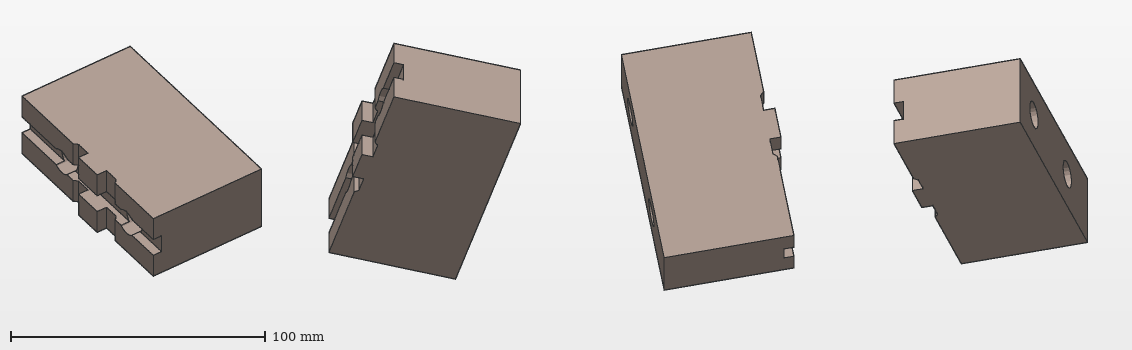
import cadquery as cq

length = 90.0
height = 30.0
total_depth = 55.0
key_projection = 3.0
body_depth = total_depth - key_projection

feature_center_x = 49.4
middle_z = height / 2

key_width = 12.8
relief_width = 28.8
relief_depth = 1.5

slot_width = 8.2
slot_depth = 4.0

hole_diameter = 11.0
hole_spacing = 44.5


def make_block():
    """Extrude the plan outline of the body, relief and key."""
    key_left = feature_center_x - key_width / 2
    key_right = feature_center_x + key_width / 2
    relief_left = feature_center_x - relief_width / 2
    relief_right = feature_center_x + relief_width / 2
    outline = [
        (0, 0),
        (relief_left, 0),
        (relief_left + relief_depth, relief_depth),
        (key_left, relief_depth),
        (key_left, -key_projection),
        (key_right, -key_projection),
        (key_right, relief_depth),
        (relief_right - relief_depth, relief_depth),
        (relief_right, 0),
        (length, 0),
        (length, body_depth),
        (0, body_depth),
    ]
    return cq.Workplane("XY").polyline(outline).close().extrude(height)


def make_slot():
    """Cutter running the full length, through the key and into the body."""
    return (
        cq.Workplane("XY")
        .box(length, key_projection + slot_depth, slot_width, centered=(False, False, True))
        .translate((0, -key_projection, middle_z))
    )


def make_holes():
    """Pair of cylinders passing through the body from front to back."""
    half_spacing = hole_spacing / 2
    return (
        cq.Workplane("XZ", origin=(feature_center_x, body_depth, middle_z))
        .pushPoints([(-half_spacing, 0), (half_spacing, 0)])
        .circle(hole_diameter / 2)
        .extrude(total_depth)
    )


result = make_block().cut(make_slot()).cut(make_holes())